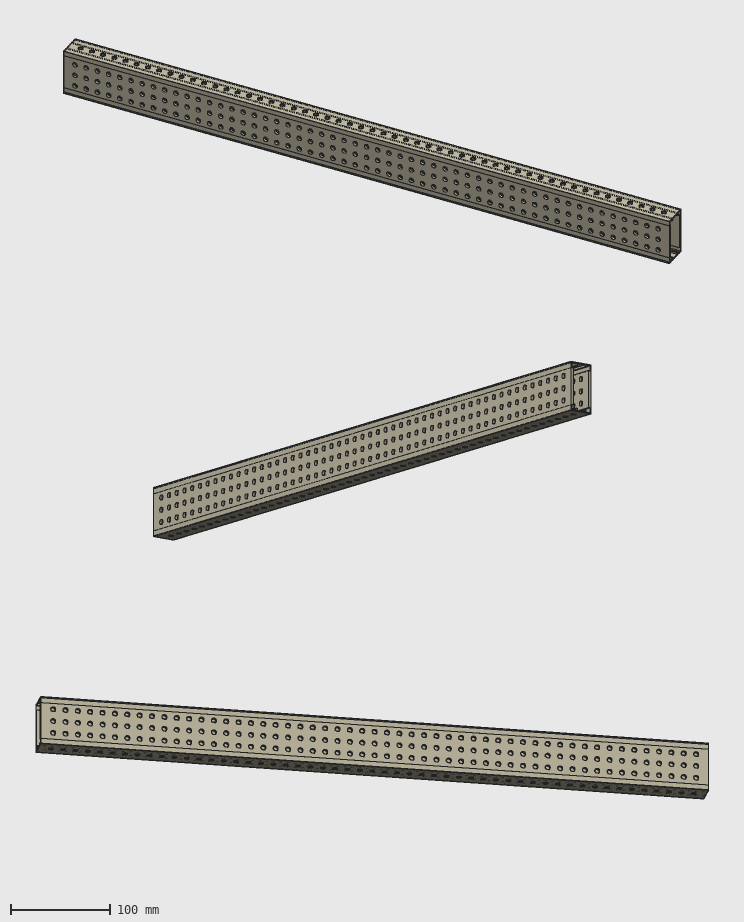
import cadquery as cq

length = 686.0
width = 25.5
height = 51.0

skin = 1.0
thick_wall = 3.15
side_pad_height = 38.5
rib_inner_offset = 5.0
rib_outer_offset = 6.5

pitch_count = 54
pitch = length / pitch_count
holes_along = pitch_count - 1
side_rows = 3
edge_rows = 1
hole_diameter = 5.0


def bar(bar_width, bar_height):
    """Rectangular bar over the full length, centred on the tube axis."""
    return cq.Workplane("YZ").rect(bar_width, bar_height).extrude(length / 2, both=True)


def hole_cutters(plane, rows, depth):
    """Grid of round cutters that pass right through a tube of the given depth."""
    return (
        cq.Workplane(plane)
        .rarray(pitch, pitch, holes_along, rows)
        .circle(hole_diameter / 2)
        .extrude(depth, both=True)
    )


skin_width = width - 2 * skin
skin_height = height - 2 * skin
skin_space = bar(skin_width, skin_height)

core_width = width - 2 * thick_wall
side_pads = bar(skin_width, side_pad_height).cut(bar(core_width, side_pad_height))

core_height = height - 2 * thick_wall
ribs = (
    bar(2 * rib_outer_offset, skin_height)
    .cut(bar(2 * rib_inner_offset, skin_height))
    .cut(bar(2 * rib_outer_offset, core_height))
)

cavity = skin_space.cut(side_pads).cut(ribs)
tube = bar(width, height).cut(cavity)

side_holes = hole_cutters("XZ", side_rows, width)
edge_holes = hole_cutters("XY", edge_rows, height)

result = tube.cut(side_holes).cut(edge_holes)